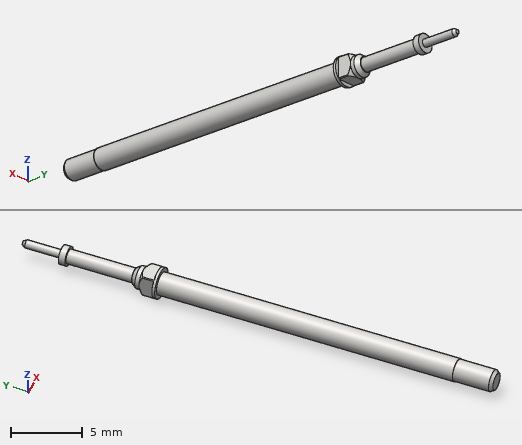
import cadquery as cq

length = 36.0
tip_y = length / 2

tip_diameter = 0.6
head_diameter = 1.45
plunger_diameter = 1.08
barrel_diameter = 1.7
tail_diameter = 1.62
collar_diameter = 2.3

press_flat_width = barrel_diameter
press_corner_diameter = collar_diameter

head_start = 3.0
head_end = 3.5
barrel_start = 8.5
press_start = 9.18
collar_start = 10.3
collar_end = 10.5
tail_start = length - 3.0

tip_chamfer_length = 0.25
tip_chamfer_depth = 0.15
nose_chamfer_length = 0.35
nose_chamfer_depth = 0.25
flare_length = 0.25
flare_depth = (press_corner_diameter - barrel_diameter) / 2
tail_chamfer_length = 0.25
tail_chamfer_depth = 0.18


def section_plane(station):
    """Workplane across the axis; a positive extrusion runs toward the tail."""
    return cq.Workplane("XZ", origin=(0, tip_y - station, 0))


def cylinder(diameter, start, end):
    """Cylinder on the Y axis between two stations."""
    return section_plane(start).circle(diameter / 2).extrude(end - start)


def make_contact_tip():
    pin = cylinder(tip_diameter, 0, head_start)
    return pin.faces(">Y").chamfer(tip_chamfer_length, tip_chamfer_depth)


def make_plunger():
    head = cylinder(head_diameter, head_start, head_end)
    rod = cylinder(plunger_diameter, head_end, barrel_start)
    return head.union(rod)


def make_barrel():
    """Main tube with a conical nose."""
    tube = cylinder(barrel_diameter, barrel_start, tail_start)
    return tube.faces(">Y").chamfer(nose_chamfer_length, nose_chamfer_depth)


def make_press_section():
    """Four flats with rounded corners that flare out of the barrel in front of the collar."""
    corners = cylinder(press_corner_diameter, press_start, collar_start)
    corners = corners.faces(">Y").chamfer(flare_length, flare_depth)
    square = section_plane(press_start).rect(press_flat_width, press_flat_width)
    return corners.intersect(square.extrude(collar_start - press_start))


def make_tail():
    """Slightly thinner rear end with a chamfered edge."""
    tail = cylinder(tail_diameter, tail_start, length)
    return tail.faces("<Y").chamfer(tail_chamfer_length, tail_chamfer_depth)


collar = cylinder(collar_diameter, collar_start, collar_end)

result = (
    make_contact_tip()
    .union(make_plunger())
    .union(make_barrel())
    .union(make_press_section())
    .union(collar)
    .union(make_tail())
)